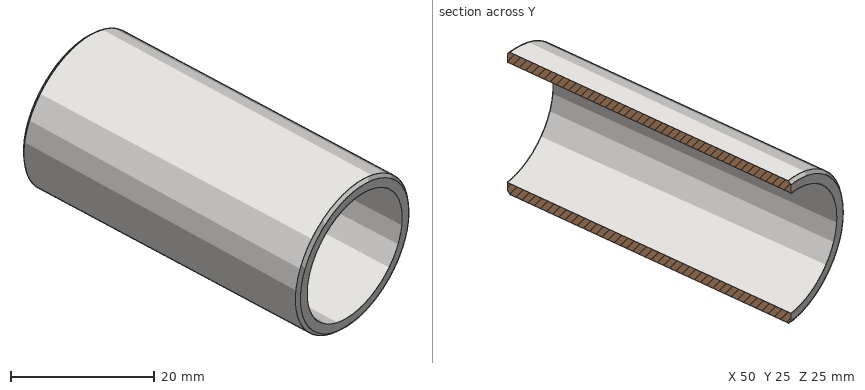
import cadquery as cq

length = 50.0
outer_diameter = 25.0
bore_diameter = 21.0
end_chamfer = 0.5

sleeve = (
    cq.Workplane("YZ", origin=(-length / 2, 0, 0))
    .circle(outer_diameter / 2)
    .circle(bore_diameter / 2)
    .extrude(length)
)

outer_rims = cq.selectors.RadiusNthSelector(-1)
result = sleeve.edges("%CIRCLE").edges(outer_rims).chamfer(end_chamfer)